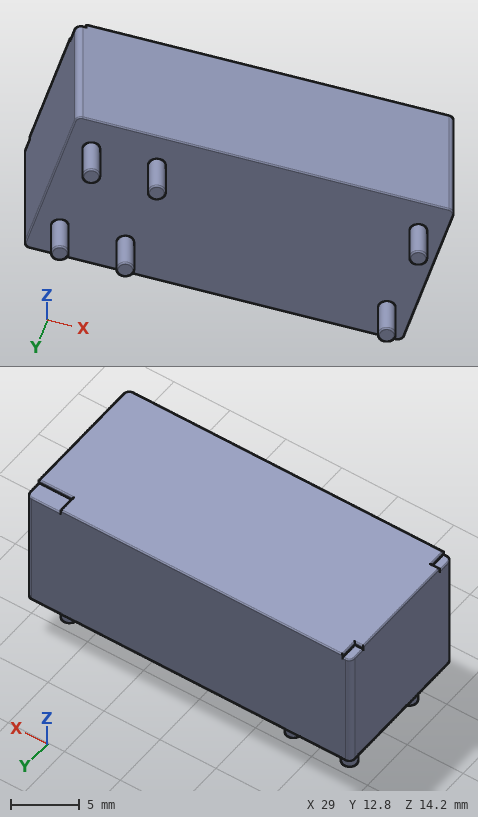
import cadquery as cq

body_length = 29.0
body_width = 12.8
overall_height = 14.2
pin_length = 3.2
body_height = overall_height - pin_length

corner_radius = 0.5
edge_radius = 0.102

recess_depth = 0.3
recess_width = 1.57
small_recess_length = 0.75
large_recess_length = 3.05

pin_diameter = 1.3
pin_tip_radius = 0.12
pin_row_offset = 3.77
first_pin_from_end = 1.97
short_pin_pitch = 5.02
long_pin_pitch = 20.0


def make_body():
    """Box with rounded vertical corners, standing on Z = 0."""
    body = cq.Workplane("XY").box(body_length, body_width, body_height, centered=(True, True, False))
    return body.edges("|Z").fillet(corner_radius)


def corner_recess(x_side, y_side, length):
    """Cutter for a shallow step in one top corner; the sides are +1 or -1."""
    return (
        cq.Workplane("XY", origin=(x_side * body_length / 2, y_side * body_width / 2, body_height))
        .box(2 * length, 2 * recess_width, 2 * recess_depth)
    )


def is_on_outline(edge):
    """True for an edge on the outer walls or the rounded corners of the body."""
    middle = edge.positionAt(0.5)
    wall_distance = min(body_length / 2 - abs(middle.x), body_width / 2 - abs(middle.y))
    return wall_distance < corner_radius / 2


def make_pin(x, y):
    """Round pin below the body with a rounded tip."""
    pin = cq.Workplane("XY", origin=(x, y, 0)).circle(pin_diameter / 2).extrude(-pin_length)
    return pin.faces("<Z").edges().fillet(pin_tip_radius)


result = make_body()
for x_side, y_side, length in (
    (-1, -1, small_recess_length),
    (-1, 1, small_recess_length),
    (1, 1, large_recess_length),
):
    result = result.cut(corner_recess(x_side, y_side, length))

result = result.faces("<Z").edges().fillet(edge_radius)
floor_height = body_height - recess_depth
floor_selector = cq.selectors.BoxSelector(
    (-body_length, -body_width, floor_height - edge_radius),
    (body_length, body_width, floor_height + edge_radius),
)
outer_floor_edges = result.edges(floor_selector).filter(is_on_outline)
result = outer_floor_edges.fillet(edge_radius)
result = result.faces(">Z").edges().fillet(edge_radius)

first_pin_x = first_pin_from_end - body_length / 2
second_pin_x = first_pin_x + short_pin_pitch
third_pin_x = second_pin_x + long_pin_pitch
for pin_x in (first_pin_x, second_pin_x, third_pin_x):
    for pin_y in (-pin_row_offset, pin_row_offset):
        result = result.union(make_pin(pin_x, pin_y))